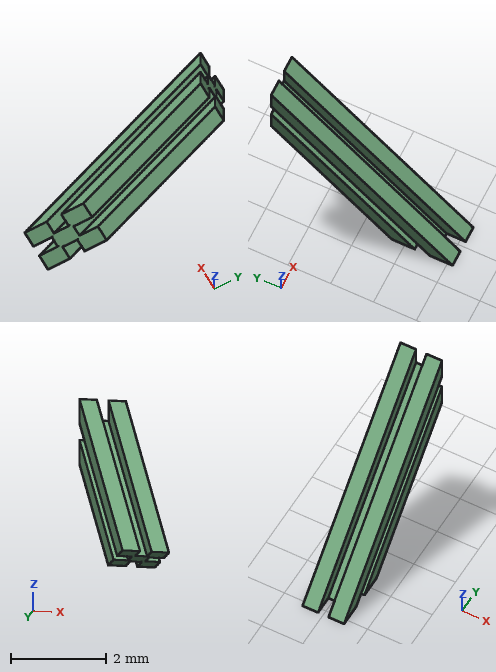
import cadquery as cq
import math

SPAN = 4.24
BAR_SIDE = 1.0
GROOVE_WIDTH = 0.25
GROOVE_DEPTH = 0.315

slope_factor = math.sqrt(2)
mitre_length = BAR_SIDE * slope_factor
groove_drop = GROOVE_DEPTH * slope_factor
groove_mitre = GROOVE_WIDTH * slope_factor
groove_start = (mitre_length - groove_mitre) / 2


def sloping_slab(start, thickness, width):
    """Slab of given width centred on X.

    On the +Y end face it starts the given distance below the bar's top edge
    and covers the given vertical thickness.
    """
    upper = SPAN / 2 - start
    lower = upper - thickness
    outline = [
        (SPAN / 2, upper),
        (-upper, -SPAN / 2),
        (-lower, -SPAN / 2),
        (SPAN / 2, lower),
    ]
    return cq.Workplane("YZ").polyline(outline).close().extrude(width / 2, both=True)


bar = sloping_slab(0, mitre_length, BAR_SIDE)

for start in (0, mitre_length - groove_drop):
    bar = bar.cut(sloping_slab(start, groove_drop, GROOVE_WIDTH))

side_offset = (BAR_SIDE - GROOVE_DEPTH) / 2
side_groove = sloping_slab(groove_start, groove_mitre, GROOVE_DEPTH)
for side in (-1, 1):
    bar = bar.cut(side_groove.translate((side * side_offset, 0, 0)))

result = bar